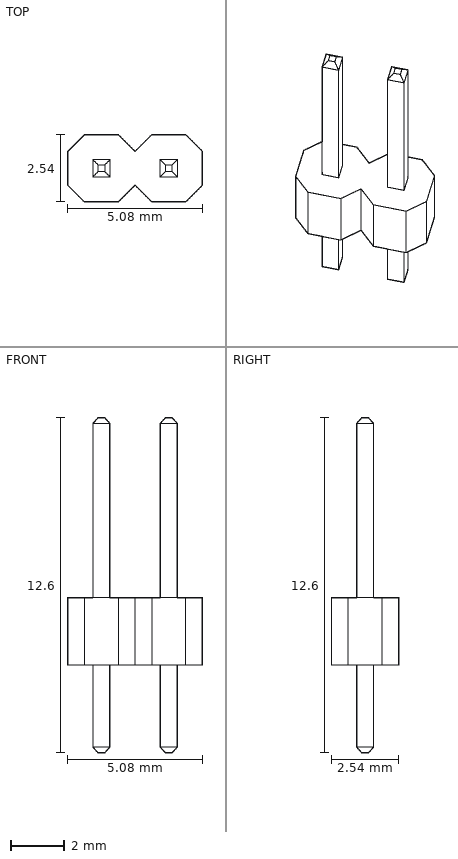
import cadquery as cq

pin_count = 2
pitch = 2.54
corner_cut = 0.63
pin_length = 12.64
pin_side = 0.65
tip_height = 0.21
tip_side = 0.25
tail_length = 3.31

body_height = pitch


def housing_cell(x):
    """Square block with cut vertical edges, standing on Z = 0."""
    return (
        cq.Workplane("XY")
        .center(x, 0)
        .rect(pitch, pitch)
        .extrude(body_height)
        .edges("|Z")
        .chamfer(corner_cut)
    )


def pin_tip(x, base_z, end_z):
    """Square taper from the full pin section to the small end flat."""
    return (
        cq.Workplane("XY", origin=(x, 0, base_z))
        .rect(pin_side, pin_side)
        .workplane(offset=end_z - base_z)
        .rect(tip_side, tip_side)
        .loft(ruled=True)
    )


def pin(x):
    """Straight square pin with a taper at both ends."""
    bottom = -tail_length
    top = bottom + pin_length
    shank = (
        cq.Workplane("XY", origin=(x, 0, bottom + tip_height))
        .rect(pin_side, pin_side)
        .extrude(pin_length - 2 * tip_height)
    )
    lower_tip = pin_tip(x, bottom + tip_height, bottom)
    upper_tip = pin_tip(x, top - tip_height, top)
    return shank.union(lower_tip).union(upper_tip)


pin_positions = [(i - (pin_count - 1) / 2) * pitch for i in range(pin_count)]

result = cq.Workplane("XY")
for x in pin_positions:
    result = result.union(housing_cell(x))
for x in pin_positions:
    result = result.union(pin(x))
result = result.clean()